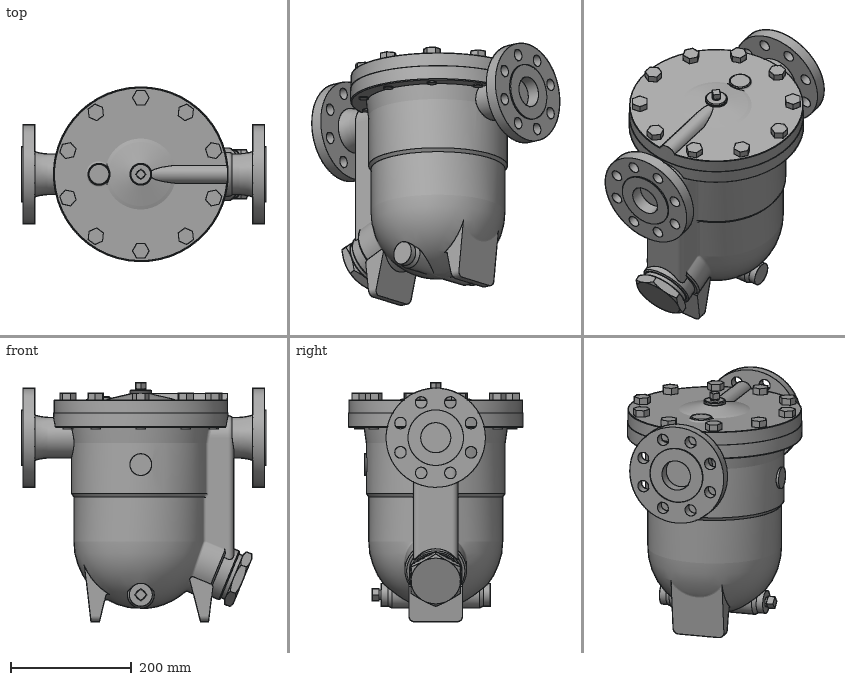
import cadquery as cq
import math


lower_radius = 111.2
upper_radius = 115.5
neck_radius = 119.0
dome_center_z = 133.0
step_low_z = 207.5
step_high_z = 213.0
neck_low_z = 296.5

flange_radius = 145.0
lid_radius = 144.0
flange_low_z = 322.5
joint_z = 346.5
lid_top_z = 368.5
rim_chamfer = 1.5
lid_chamfer = 1.0

bolt_count = 10
bolt_circle_radius = 127.0
bolt_diameter = 16.0
bolt_end_z = 320.5
bolt_head_flats = 24.0
bolt_head_height = 11.0

cone_base_radius = 59.0
cone_edge_radius = 53.0
cone_edge_height = 1.5
cone_top_radius = 16.2
cone_top_z = 379.0
collar_radius = 36.0 / 2
collar_low_z = 379.5
collar_high_z = 385.0
plug_chamfer = 1.5
lid_plug_side = 12.0
lid_plug_neck_radius = 7.0
lid_plug_low_z = 387.0
lid_plug_top_z = 397.0
boss_x = -69.5
boss_radius = 36.0 / 2
boss_height = 5.3
boss_flare = 3.2

ridge_radius = 16.0
ridge_top_z = 379.2

pipe_mid_x = 5.0
pipe_z = 305.7
pipe_radius = 68.0 / 2
flare_start = 159.0
flare_radius = 37.8
pipe_flange_inner = 180.5
pipe_flange_outer = 200.5
pipe_half_length = 203.0
pipe_flange_radius = 165.0 / 2
raised_face_radius = 92.0 / 2
bore_radius = 50.0 / 2
bore_depth = pipe_half_length - pipe_flange_inner
flange_hole_count = 8
flange_hole_diameter = 19.0
flange_hole_circle_radius = 63.5

passage_half_width = 36.5
passage_outer_x = 154.3
passage_low_z = 101.5
passage_edge_radius = 9.0

screen_tilt = 22.5
screen_end_x = 145.8
screen_end_z = 77.5
screen_root_length = 89.5
screen_body_radius = 51.0
screen_body_end = -18.5
screen_body_chamfer = 3.0
screen_boss_radius = 44.0
screen_boss_end = 2.5
screen_boss_chamfer = 2.0
screen_plug_radius = 39.5
screen_hex_start = 9.5
screen_hex_end = 25.0
screen_hex_corner_diameter = 94.5
screen_hex_chamfer_depth = 3.2

drain_z = 45.0
drain_radius = 22.5
drain_straight_y = 72.3
drain_cone_y = 79.0
drain_collar_radius = 19.0
drain_collar_y = 90.5
drain_plug_side = 14.5
drain_plug_y = 105.5
drain_plug_neck_radius = 8.0
drain_plug_neck_length = 3.2

sight_plug_z = 261.0
sight_plug_radius = 36.0 / 2
sight_plug_y = 118.0

foot_half_width = 44.5
foot_corner_radius = 9.7

blend_radius = 4.0
passage_blend_radius = 5.5
seam_tolerance = 0.005


def cylinder(radius, start, direction, length):
    return cq.Workplane(cq.Solid.makeCylinder(radius, length, cq.Vector(*start), cq.Vector(*direction)))


def make_body():
    """Domed vessel with its flange, turned about Z."""
    diagonal = lower_radius * math.sqrt(0.5)
    return (
        cq.Workplane("XZ")
        .moveTo(0, dome_center_z - lower_radius)
        .threePointArc((diagonal, dome_center_z - diagonal), (lower_radius, dome_center_z))
        .lineTo(lower_radius, step_low_z)
        .lineTo(upper_radius, step_high_z)
        .lineTo(upper_radius, neck_low_z)
        .lineTo(neck_radius, flange_low_z)
        .lineTo(flange_radius - rim_chamfer, flange_low_z)
        .lineTo(flange_radius, flange_low_z + rim_chamfer)
        .lineTo(flange_radius, joint_z)
        .lineTo(0, joint_z)
        .close()
        .revolve(360, (0, 0, 0), (0, 1, 0))
    )


def make_lid():
    """Lid disc with its raised cone, plug, small boss and ridge."""
    lid = (
        cq.Workplane("XZ")
        .moveTo(0, joint_z)
        .lineTo(lid_radius, joint_z)
        .lineTo(lid_radius, lid_top_z - lid_chamfer)
        .lineTo(lid_radius - lid_chamfer, lid_top_z)
        .lineTo(cone_base_radius, lid_top_z)
        .lineTo(cone_edge_radius, lid_top_z + cone_edge_height)
        .lineTo(cone_top_radius, cone_top_z)
        .lineTo(cone_top_radius, collar_low_z)
        .lineTo(collar_radius, collar_low_z)
        .lineTo(collar_radius, collar_high_z - plug_chamfer)
        .lineTo(collar_radius - plug_chamfer, collar_high_z)
        .lineTo(lid_plug_neck_radius, collar_high_z)
        .lineTo(lid_plug_neck_radius, lid_plug_low_z)
        .lineTo(0, lid_plug_low_z)
        .close()
        .revolve(360, (0, 0, 0), (0, 1, 0))
    )
    plug = (
        cq.Workplane("XY", origin=(0, 0, lid_plug_low_z))
        .transformed(rotate=(0, 0, 45))
        .rect(lid_plug_side, lid_plug_side)
        .extrude(lid_plug_top_z - lid_plug_low_z)
    )
    flare_middle = boss_flare * (1 - math.sqrt(0.5))
    boss = (
        cq.Workplane("XZ", origin=(boss_x, 0, lid_top_z))
        .lineTo(boss_radius + boss_flare, 0)
        .threePointArc((boss_radius + flare_middle, flare_middle), (boss_radius, boss_flare))
        .lineTo(boss_radius, boss_height - plug_chamfer)
        .lineTo(boss_radius - plug_chamfer, boss_height)
        .lineTo(0, boss_height)
        .close()
        .revolve(360, (0, 0, 0), (0, 1, 0))
    )
    ridge = cylinder(ridge_radius, (0, 0, ridge_top_z - ridge_radius), (1, 0, 0), flange_radius)
    rim = cylinder(lid_radius, (0, 0, joint_z), (0, 0, 1), lid_plug_top_z - joint_z)
    return lid.union(plug).union(boss).union(ridge.intersect(rim))


def make_bolts():
    """Hexagon head bolts through the lid and the body flange."""
    head = (
        cq.Workplane("XY", origin=(bolt_circle_radius, 0, lid_top_z))
        .transformed(rotate=(0, 0, 90))
        .polygon(6, bolt_head_flats / math.cos(math.pi / 6))
        .extrude(bolt_head_height)
    )
    bolt = head.union(
        cylinder(bolt_diameter / 2, (bolt_circle_radius, 0, bolt_end_z), (0, 0, 1), lid_top_z - bolt_end_z)
    )
    bolts = cq.Workplane("XY")
    for i in range(bolt_count):
        angle = 360 * (i + 0.5) / bolt_count
        bolts = bolts.add(bolt.rotate((0, 0, 0), (0, 0, 1), angle))
    return bolts


def make_pipe(side):
    """Pipe and drilled flange, on the +X (side = 1) or -X (side = -1) side."""
    flare_length = pipe_flange_inner - flare_start
    flare_bulge = 0.3 * (flare_radius - pipe_radius)
    pipe = (
        cq.Workplane("XY")
        .lineTo(0, pipe_radius)
        .lineTo(flare_start, pipe_radius)
        .threePointArc(
            (flare_start + flare_length / 2, pipe_radius + flare_bulge),
            (pipe_flange_inner, flare_radius),
        )
        .lineTo(pipe_flange_inner, pipe_flange_radius)
        .lineTo(pipe_flange_outer, pipe_flange_radius)
        .lineTo(pipe_flange_outer, raised_face_radius)
        .lineTo(pipe_half_length, raised_face_radius)
        .lineTo(pipe_half_length, bore_radius)
        .lineTo(pipe_half_length - bore_depth, bore_radius)
        .lineTo(pipe_half_length - bore_depth, 0)
        .close()
        .revolve(360, (0, 0, 0), (1, 0, 0))
    )
    holes = (
        cq.Workplane("YZ", origin=(pipe_flange_inner, 0, 0))
        .polarArray(flange_hole_circle_radius, 180 / flange_hole_count, 360, flange_hole_count)
        .circle(flange_hole_diameter / 2)
        .extrude(pipe_flange_outer - pipe_flange_inner)
    )
    pipe = pipe.cut(holes)
    if side < 0:
        pipe = pipe.mirror("YZ")
    return pipe.translate((pipe_mid_x, 0, pipe_z))


def make_passage():
    """Round-topped vertical passage joining the outlet pipe to the screen holder."""
    return (
        cq.Workplane("YZ")
        .moveTo(-passage_half_width, passage_low_z)
        .lineTo(-passage_half_width, pipe_z)
        .threePointArc((0, pipe_z + passage_half_width), (passage_half_width, pipe_z))
        .lineTo(passage_half_width, passage_low_z)
        .close()
        .extrude(passage_outer_x)
        .faces(">X")
        .edges("not <Z")
        .fillet(passage_edge_radius)
    )


def make_screen_holder():
    """Stepped round boss and hexagon plug; built along +X, then tilted down."""
    holder = (
        cq.Workplane("XY")
        .moveTo(-screen_root_length, 0)
        .lineTo(-screen_root_length, screen_body_radius)
        .lineTo(screen_body_end - screen_body_chamfer, screen_body_radius)
        .lineTo(screen_body_end, screen_body_radius - screen_body_chamfer)
        .lineTo(screen_body_end, screen_boss_radius)
        .lineTo(screen_boss_end - screen_boss_chamfer, screen_boss_radius)
        .lineTo(screen_boss_end, screen_boss_radius - screen_boss_chamfer)
        .lineTo(screen_boss_end, screen_plug_radius)
        .lineTo(screen_hex_start, screen_plug_radius)
        .lineTo(screen_hex_start, 0)
        .close()
        .revolve(360, (0, 0, 0), (1, 0, 0))
    )
    corner_radius = screen_hex_corner_diameter / 2
    flat_radius = corner_radius * math.cos(math.pi / 6)
    hexagon = (
        cq.Workplane("YZ", origin=(screen_hex_start, 0, 0))
        .transformed(rotate=(0, 0, 90))
        .polygon(6, screen_hex_corner_diameter)
        .extrude(screen_hex_end - screen_hex_start)
    )
    corner_rounding = (
        cq.Workplane("XY")
        .moveTo(screen_hex_start, 0)
        .lineTo(screen_hex_start, flat_radius)
        .lineTo(screen_hex_start + screen_hex_chamfer_depth, corner_radius)
        .lineTo(screen_hex_end - screen_hex_chamfer_depth, corner_radius)
        .lineTo(screen_hex_end, flat_radius)
        .lineTo(screen_hex_end, 0)
        .close()
        .revolve(360, (0, 0, 0), (1, 0, 0))
    )
    return (
        holder.union(hexagon.intersect(corner_rounding))
        .rotate((0, 0, 0), (0, 1, 0), screen_tilt)
        .translate((screen_end_x, 0, screen_end_z))
    )


def make_drain():
    """Drain boss through both sides, with a square-headed plug on the -Y side."""
    half = (
        cq.Workplane("XY")
        .lineTo(drain_radius, 0)
        .lineTo(drain_radius, -drain_straight_y)
        .lineTo(drain_collar_radius, -drain_cone_y)
        .lineTo(drain_collar_radius, -drain_collar_y)
        .lineTo(0, -drain_collar_y)
        .close()
        .revolve(360, (0, 0, 0), (0, 1, 0))
    )
    neck = cylinder(drain_plug_neck_radius, (0, -drain_collar_y, 0), (0, -1, 0), drain_plug_neck_length)
    square_start_y = drain_collar_y + drain_plug_neck_length
    square = (
        cq.Workplane("XZ", origin=(0, -square_start_y, 0))
        .transformed(rotate=(0, 0, 45))
        .rect(drain_plug_side, drain_plug_side)
        .extrude(drain_plug_y - square_start_y)
    )
    return half.union(half.mirror("XZ")).union(neck).union(square).translate((0, 0, drain_z))


def make_foot(outline):
    """Tapered foot plate with its two bottom corners rounded."""
    plate = (
        cq.Workplane("XZ", origin=(0, foot_half_width, 0))
        .polyline(outline)
        .close()
        .extrude(2 * foot_half_width)
    )
    return plate.faces("<Z").edges("|X").edges("<Y or >Y").fillet(foot_corner_radius)


def lies_on(point, solid):
    vertex = cq.Vertex.makeVertex(*point.toTuple())
    return min(vertex.distance(face) for face in solid.faces().vals()) < seam_tolerance


def join_blended(base, added, radius, is_blended):
    """Unite two solids and round those of their seam edges whose centers pass is_blended."""
    joined = base.union(added)
    seam = [
        edge
        for edge in joined.edges().vals()
        if all(lies_on(edge.positionAt(t), solid) for t in (0.3, 0.7) for solid in (base, added))
        and is_blended(edge.Center())
    ]
    return cq.Workplane(joined.val().fillet(radius, seam))


left_foot = [(-83.0, 0), (-68.5, 0), (-57.0, 48.7), (-73.0, 85.3), (-81.0, 97.5), (-94.0, 97.5)]
right_foot = [(99.0, 0), (112.5, 0), (119.8, 59.0), (109.5, 77.0), (76.7, 87.3)]

sight_plug = cylinder(sight_plug_radius, (0, 0, sight_plug_z), (0, -1, 0), sight_plug_y)

cast_body = make_body()
cast_body = join_blended(cast_body, make_foot(left_foot), blend_radius, lambda center: abs(center.y) < 4)
cast_body = join_blended(
    cast_body, make_passage(), passage_blend_radius, lambda center: dome_center_z < center.z < pipe_z
)
cast_body = join_blended(
    cast_body, make_screen_holder(), blend_radius, lambda center: center.x < screen_end_x - 8
)

result = (
    cast_body.union(make_foot(right_foot))
    .union(make_lid())
    .union(make_pipe(1))
    .union(make_pipe(-1))
    .union(make_drain())
    .union(sight_plug)
)
for bolt in make_bolts().vals():
    result = result.union(cq.Workplane(bolt))